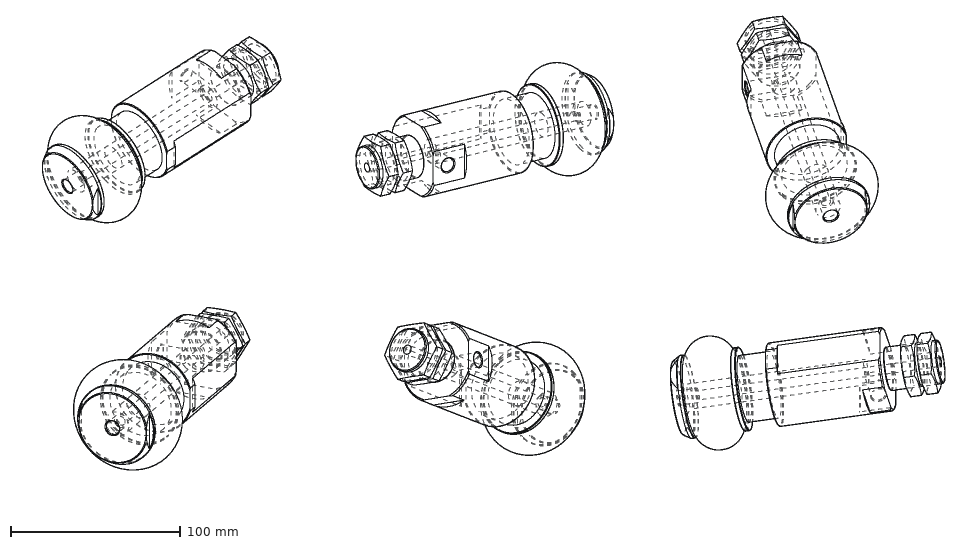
import cadquery as cq
import math


overall_length = 159.0
head_length = 7.0
ring_length = 30.0
flange_length = 3.0
neck_length = 18.0
barrel_length = 69.0
ring_front = head_length
flange_front = ring_front + ring_length
neck_front = flange_front + flange_length
barrel_front = neck_front + neck_length
barrel_rear = barrel_front + barrel_length

barrel_radius = 25.0
barrel_front_chamfer = 0.5
barrel_rear_chamfer = 0.9
neck_radius = 20.0
flange_radius = 25.0
flange_chamfer = 0.4
shank_radius = 13.0
shank_chamfer = 0.6
shank_root_chamfer = 0.5
flat_distance = 22.5
shallow_flat_distance = 23.9
port_flat_length = 22.0
wrench_flat_length = 13.0
long_flat_length = 62.0

port_diameter = 8.57
port_mouth_diameter = 9.7
port_from_barrel_rear = 10.5
port_wall_end = 6.0
drill_tip_angle = 118.0
bore_diameter = 5.5
front_port_depth = 12.0

stem_radius = 7.5
stem_end = barrel_rear - wrench_flat_length
head_radius = 24.9
head_rim_length = 2.2
head_rim_chamfer = 0.3
head_cone_radius = 22.4
head_face_radius = 21.8
head_edge_length = 0.5
head_flat_distance = 22.0
head_flat_length = 4.4

ring_radius = 34.0

nut_across_flats = 32.0
nut_thickness = 8.0
nut_gap = 2.0
nut_count = 2
nut_inset = 3.0
nut_chamfer_radius = 15.95
nut_chamfer_angle = 17.0
hexagon_half_angle = 30.0
envelope_margin = 1.0


def revolve_about_y(outline):
    """Turn a closed XY outline about the Y axis."""
    return outline.close().revolve(360, (0, 0, 0), (0, 1, 0))


def rod(radius, start, end):
    """Cylinder on the Y axis between two stations."""
    return cq.Workplane("XZ", origin=(0, start, 0)).circle(radius).extrude(start - end)


def flat_cutter(distance, start, end, turn):
    """Block lying beyond a flat at the given distance on +X, turned about Y."""
    size = 2 * barrel_radius
    block = cq.Workplane("XY").box(size, end - start, size)
    block = block.translate((distance + size / 2, (start + end) / 2, 0))
    return block.rotate((0, 0, 0), (0, 1, 0), turn)


def port_outline(diameter, mouth_diameter, depth):
    """Open half-profile of a port along +Y from Y = 0, with a 45 degree chamfered mouth."""
    radius = diameter / 2
    mouth_radius = mouth_diameter / 2
    return cq.Workplane("XY").polyline([
        (0, 0),
        (mouth_radius, 0),
        (radius, mouth_radius - radius),
        (radius, depth),
    ])


def make_side_port():
    """Blind drilled port entering the -X flat, with a conical drill tip."""
    depth = flat_distance - port_wall_end
    tip_height = port_diameter / 2 / math.tan(math.radians(drill_tip_angle / 2))
    outline = port_outline(port_diameter, port_mouth_diameter, depth).lineTo(0, depth + tip_height)
    port = revolve_about_y(outline).rotate((0, 0, 0), (0, 0, 1), -90)
    return port.translate((-flat_distance, barrel_rear - port_from_barrel_rear, 0))


def make_front_port():
    """Flat-bottomed port in the front face of the bolt."""
    outline = port_outline(port_diameter, port_mouth_diameter, front_port_depth).lineTo(0, front_port_depth)
    return revolve_about_y(outline)


def make_housing():
    """Barrel with flats and ports, threaded rear shank, front neck and clamping flange."""
    flange = rod(flange_radius, flange_front, neck_front).edges().chamfer(flange_chamfer)
    neck = rod(neck_radius, neck_front, barrel_front)
    barrel = rod(barrel_radius, barrel_front, barrel_rear)
    barrel = barrel.faces("<Y").chamfer(barrel_front_chamfer).faces(">Y").chamfer(barrel_rear_chamfer)
    shank = rod(shank_radius, barrel_rear, overall_length)
    shank = shank.faces(">Y").chamfer(shank_chamfer).faces("<Y").chamfer(shank_root_chamfer)
    body = flange.union(neck).union(barrel).union(shank)
    flats = [
        (long_flat_length, 0),
        (wrench_flat_length, 90),
        (port_flat_length, 180),
        (wrench_flat_length, 270),
    ]
    for length, turn in flats:
        body = body.cut(flat_cutter(flat_distance, barrel_rear - length, barrel_rear, turn))
    body = body.cut(flat_cutter(shallow_flat_distance, barrel_front, barrel_rear - long_flat_length, 0))
    body = body.cut(rod(stem_radius, flange_front, stem_end))
    body = body.cut(rod(bore_diameter / 2, stem_end, overall_length))
    return body.cut(make_side_port())


def make_bolt():
    """Hollow bolt: conical head with two wrench flats, and a plain stem."""
    outline = cq.Workplane("XY").polyline([
        (0, 0),
        (head_face_radius, 0),
        (head_cone_radius, head_edge_length),
        (head_radius, head_length - head_rim_length),
        (head_radius, head_length),
        (0, head_length),
    ])
    head = revolve_about_y(outline).faces(">Y").chamfer(head_rim_chamfer)
    for turn in (0, 180):
        head = head.cut(flat_cutter(head_flat_distance, 0, head_flat_length, turn))
    bolt = head.union(rod(stem_radius, head_length, stem_end))
    return bolt.cut(rod(bore_diameter / 2, 0, stem_end)).cut(make_front_port())


def make_ring():
    """Ring with flat clamped sides and a semicircular rim, on the bolt stem."""
    rim_radius = ring_length / 2
    rim_center = ring_radius - rim_radius
    outline = (
        cq.Workplane("XY")
        .moveTo(stem_radius, ring_front)
        .lineTo(rim_center, ring_front)
        .threePointArc((ring_radius, ring_front + rim_radius), (rim_center, flange_front))
        .lineTo(stem_radius, flange_front)
    )
    return revolve_about_y(outline)


def make_nut(rear):
    """Hexagon nut with corners on the X axis and both faces chamfered."""
    front = rear - nut_thickness
    corner_diameter = nut_across_flats / math.cos(math.radians(hexagon_half_angle))
    hexagon = cq.Workplane("XZ", origin=(0, front, 0)).polygon(6, corner_diameter).extrude(-nut_thickness)
    reach = corner_diameter / 2 + envelope_margin
    drop = (reach - nut_chamfer_radius) * math.tan(math.radians(nut_chamfer_angle))
    envelope = revolve_about_y(cq.Workplane("XY").polyline([
        (0, front),
        (nut_chamfer_radius, front),
        (reach, front + drop),
        (reach, rear - drop),
        (nut_chamfer_radius, rear),
        (0, rear),
    ]))
    return hexagon.intersect(envelope).cut(rod(shank_radius, front, rear))


housing = make_housing()
bolt = make_bolt()
ring = make_ring()
nuts = []
for index in range(nut_count):
    nut_rear = overall_length - nut_inset - index * (nut_thickness + nut_gap)
    nuts.append(make_nut(nut_rear))

result = cq.Compound.makeCompound([
    housing.val(),
    bolt.val(),
    ring.val(),
    *[nut.val() for nut in nuts],
])